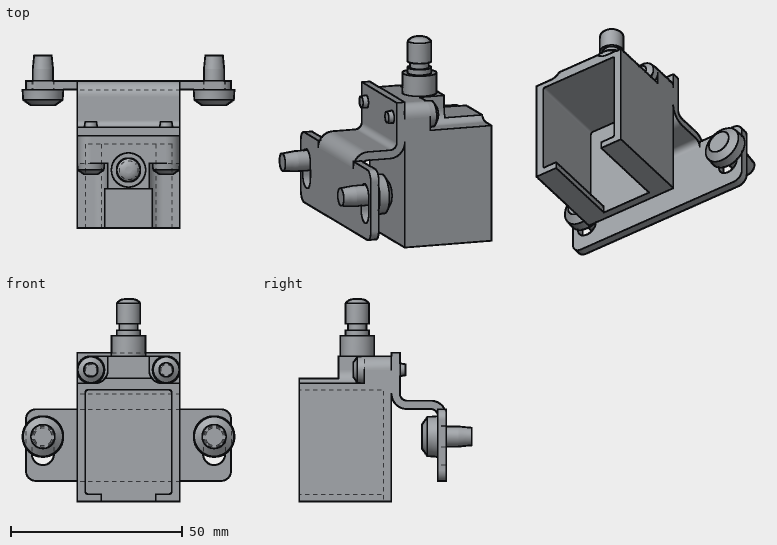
import cadquery as cq
import math


HOUSING_WIDTH = 30.0
HOUSING_DEPTH = 27.0
HOUSING_HEIGHT = 42.5
REAR_CORNER_RADIUS = 4.0
STEP_HEIGHT = 36.0
HEAD_BLOCK_DEPTH = 15.5
HEAD_BLOCK_WIDTH = 12.0

TROUGH_FLOOR = 34.5
TROUGH_RADIUS = 4.0
TROUGH_START = 8.0

CAVITY_WIDTH = 25.2
CAVITY_BOTTOM = 2.2
CAVITY_TOP = 32.6
CAVITY_CORNER_RADIUS = 0.7
CABLE_GAP_WIDTH = 16.0
SIDE_WALL = (HOUSING_WIDTH - CAVITY_WIDTH) / 2
CAVITY_DEPTH = HOUSING_DEPTH - SIDE_WALL

PLATE_THICKNESS = 2.5
BRACKET_TOP = 43.5
BRACKET_OFFSET = 16.0
SHELF_TOP = 29.5
BEND_INNER_RADIUS = 2.0
BEND_OUTER_RADIUS = BEND_INNER_RADIUS + PLATE_THICKNESS
WING_SPAN = 60.0
WING_BOTTOM = 6.0
WING_TOP = 27.0
WING_CORNER_RADIUS = 3.0
WING_FRONT = BRACKET_OFFSET - PLATE_THICKNESS
SLOT_WIDTH = 6.4
SLOT_LENGTH = 11.6

MOUNT_X = 25.0
MOUNT_Z = 19.0
MOUNT_HEAD_DIAMETER = 12.0
MOUNT_RIM_DIAMETER = 11.6
MOUNT_FACE_DIAMETER = 7.0
MOUNT_RIM_HEIGHT = 3.0
MOUNT_HEAD_HEIGHT = 4.65
MOUNT_SHANK_DIAMETER = 6.0
MOUNT_TIP_DIAMETER = 5.2
MOUNT_TIP_LENGTH = 4.0
MOUNT_SHANK_LENGTH = 10.0

FIXING_X = HOUSING_WIDTH / 2 - REAR_CORNER_RADIUS
FIXING_Z = HOUSING_HEIGHT - REAR_CORNER_RADIUS
FIXING_HEAD_DIAMETER = 8.0
FIXING_RIM_DIAMETER = 7.6
FIXING_FACE_DIAMETER = 4.1
FIXING_RIM_HEIGHT = 2.0
FIXING_HEAD_HEIGHT = 3.2
FIXING_SHANK_DIAMETER = 3.8
FIXING_TIP_DIAMETER = 3.3
FIXING_TIP_LENGTH = 1.6
FIXING_SHANK_LENGTH = TROUGH_START + PLATE_THICKNESS + FIXING_TIP_LENGTH

PLUNGER_Y = -10.0
COLLAR_RADIUS = 5.0
COLLAR_TOP = 48.5
STEM_RADIUS = 3.5
NECK_RADIUS = 2.75
NECK_BOTTOM = 50.1
NECK_TOP = 51.9
STEM_TOP = 57.6
DOME_RADIUS = 3.4
DOME_BOTTOM = 58.0
DOME_FLAT_RADIUS = 1.0
PLUNGER_TOP = 59.2


def box(x_range, y_range, z_range):
    """Axis-aligned box from its lower and upper limits."""
    size = [high - low for low, high in (x_range, y_range, z_range)]
    corner = (x_range[0], y_range[0], z_range[0])
    return cq.Workplane("XY").box(*size, centered=False).translate(corner)


def both_sides(shape):
    """A shape together with its mirror image across X = 0."""
    return shape.union(shape.mirror("YZ"))


def trough():
    """Cut beside the head block, on +X: a vertical wall, a quarter round and a flat floor."""
    wall_x = HEAD_BLOCK_WIDTH / 2
    round_x = wall_x + TROUGH_RADIUS
    round_z = TROUGH_FLOOR + TROUGH_RADIUS
    diagonal = TROUGH_RADIUS * math.sqrt(0.5)
    return (
        cq.Workplane("XZ", origin=(0, -TROUGH_START, 0))
        .moveTo(wall_x, HOUSING_HEIGHT)
        .lineTo(wall_x, round_z)
        .threePointArc((round_x - diagonal, round_z - diagonal), (round_x, TROUGH_FLOOR))
        .lineTo(HOUSING_WIDTH / 2, TROUGH_FLOOR)
        .lineTo(HOUSING_WIDTH / 2, HOUSING_HEIGHT)
        .close()
        .extrude(HOUSING_DEPTH - TROUGH_START)
    )


def housing():
    half = HOUSING_WIDTH / 2
    body = box((-half, half), (-HOUSING_DEPTH, 0), (0, HOUSING_HEIGHT))
    body = body.edges("|Y and >Z").fillet(REAR_CORNER_RADIUS)
    front_step = box((-half, half), (-HOUSING_DEPTH, -HEAD_BLOCK_DEPTH), (STEP_HEIGHT, HOUSING_HEIGHT))
    return body.cut(front_step).cut(both_sides(trough())).cut(cavity())


def cavity():
    """Front pocket, open downwards through a gap between two bottom lips."""
    y_range = (-HOUSING_DEPTH, -HOUSING_DEPTH + CAVITY_DEPTH)
    half = CAVITY_WIDTH / 2
    half_gap = CABLE_GAP_WIDTH / 2
    pocket = box((-half, half), y_range, (CAVITY_BOTTOM, CAVITY_TOP))
    pocket = pocket.edges("|Y").fillet(CAVITY_CORNER_RADIUS)
    gap = box((-half_gap, half_gap), y_range, (0, CAVITY_TOP - CAVITY_CORNER_RADIUS))
    return pocket.union(gap)


def bracket():
    """Z-bent sheet behind the housing with a slotted wing on each side."""
    shelf_bottom = SHELF_TOP - PLATE_THICKNESS
    sheet = (
        cq.Workplane("YZ", origin=(-HOUSING_WIDTH / 2, 0, 0))
        .polyline([
            (0, BRACKET_TOP),
            (0, shelf_bottom),
            (WING_FRONT, shelf_bottom),
            (WING_FRONT, WING_BOTTOM),
            (BRACKET_OFFSET, WING_BOTTOM),
            (BRACKET_OFFSET, SHELF_TOP),
            (PLATE_THICKNESS, SHELF_TOP),
            (PLATE_THICKNESS, BRACKET_TOP),
        ])
        .close()
        .extrude(HOUSING_WIDTH)
    )
    for y, z, radius in (
        (0, shelf_bottom, BEND_OUTER_RADIUS),
        (PLATE_THICKNESS, SHELF_TOP, BEND_INNER_RADIUS),
        (BRACKET_OFFSET, SHELF_TOP, BEND_OUTER_RADIUS),
        (WING_FRONT, shelf_bottom, BEND_INNER_RADIUS),
    ):
        sheet = sheet.edges(cq.NearestToPointSelector((0, y, z))).fillet(radius)
    return sheet.union(both_sides(wing()))


def wing():
    y_range = (WING_FRONT, BRACKET_OFFSET)
    plate = box((HOUSING_WIDTH / 2, WING_SPAN / 2), y_range, (WING_BOTTOM, WING_TOP))
    plate = plate.edges("|Y and >X").fillet(WING_CORNER_RADIUS)
    slot = (
        cq.Workplane("XZ", origin=(MOUNT_X, BRACKET_OFFSET, (WING_BOTTOM + WING_TOP) / 2))
        .slot2D(SLOT_LENGTH, SLOT_WIDTH, 90)
        .extrude(PLATE_THICKNESS)
    )
    return plate.cut(slot)


def screw(head_diameter, rim_diameter, face_diameter, rim_height, head_height,
          shank_diameter, tip_diameter, tip_length, shank_length):
    """Screw along Y: head towards -Y with its seat at Y = 0, tapered tip towards +Y."""
    return (
        cq.Workplane("XY")
        .polyline([
            (0, -head_height),
            (face_diameter / 2, -head_height),
            (rim_diameter / 2, -rim_height),
            (head_diameter / 2, 0),
            (shank_diameter / 2, 0),
            (shank_diameter / 2, shank_length - tip_length),
            (tip_diameter / 2, shank_length),
            (0, shank_length),
        ])
        .close()
        .revolve(360, (0, 0, 0), (0, 1, 0))
    )


def mounting_screws():
    one = screw(
        MOUNT_HEAD_DIAMETER, MOUNT_RIM_DIAMETER, MOUNT_FACE_DIAMETER,
        MOUNT_RIM_HEIGHT, MOUNT_HEAD_HEIGHT,
        MOUNT_SHANK_DIAMETER, MOUNT_TIP_DIAMETER, MOUNT_TIP_LENGTH, MOUNT_SHANK_LENGTH,
    )
    return both_sides(one.translate((MOUNT_X, WING_FRONT, MOUNT_Z)))


def fixing_screws():
    one = screw(
        FIXING_HEAD_DIAMETER, FIXING_RIM_DIAMETER, FIXING_FACE_DIAMETER,
        FIXING_RIM_HEIGHT, FIXING_HEAD_HEIGHT,
        FIXING_SHANK_DIAMETER, FIXING_TIP_DIAMETER, FIXING_TIP_LENGTH, FIXING_SHANK_LENGTH,
    )
    return both_sides(one.translate((FIXING_X, -TROUGH_START, FIXING_Z)))


def plunger():
    """Collar, grooved stem and a dome that meets its small top flat tangentially."""
    dome_rise = PLUNGER_TOP - DOME_BOTTOM
    dome_run = DOME_RADIUS - DOME_FLAT_RADIUS
    arc_radius = (dome_run**2 + dome_rise**2) / (2 * dome_rise)
    half_angle = math.asin(dome_run / arc_radius) / 2
    arc_middle = (
        DOME_FLAT_RADIUS + arc_radius * math.sin(half_angle),
        PLUNGER_TOP - arc_radius * (1 - math.cos(half_angle)),
    )
    return (
        cq.Workplane("XZ")
        .moveTo(0, HOUSING_HEIGHT)
        .lineTo(COLLAR_RADIUS, HOUSING_HEIGHT)
        .lineTo(COLLAR_RADIUS, COLLAR_TOP)
        .lineTo(STEM_RADIUS, COLLAR_TOP)
        .lineTo(STEM_RADIUS, NECK_BOTTOM)
        .lineTo(NECK_RADIUS, NECK_BOTTOM)
        .lineTo(NECK_RADIUS, NECK_TOP)
        .lineTo(STEM_RADIUS, NECK_TOP)
        .lineTo(STEM_RADIUS, STEM_TOP)
        .lineTo(DOME_RADIUS, DOME_BOTTOM)
        .threePointArc(arc_middle, (DOME_FLAT_RADIUS, PLUNGER_TOP))
        .lineTo(0, PLUNGER_TOP)
        .close()
        .revolve(360, (0, 0, 0), (0, 1, 0))
        .translate((0, PLUNGER_Y, 0))
    )


result = housing()
for component in (bracket(), mounting_screws(), fixing_screws(), plunger()):
    result = result.union(component)